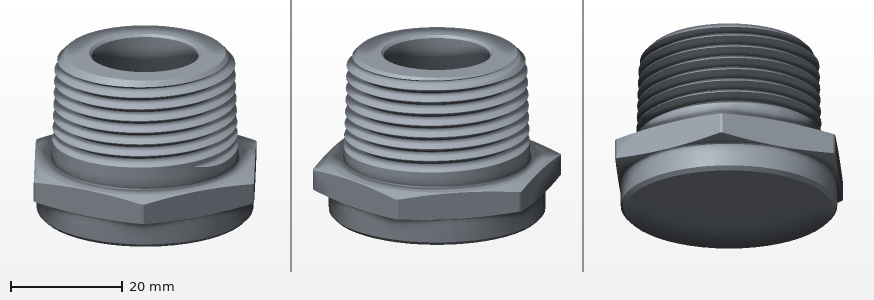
import cadquery as cq
import math

total_height = 30.23
flange_height = 5.08
hex_height = 5.08
hex_top = flange_height + hex_height
thread_start = 13.6

flange_radius = 19.49
flange_chamfer = 0.7
junction_chamfer = 0.2

across_flats = 39.62
across_corners = 45.45
hex_chamfer_angle = 12

pitch = 25.4 / 11.5
taper_slope = 1 / 32
thread_radius = 16.72
truncation = 0.038 * pitch
thread_depth = (pitch - 2 * truncation) / 2 / math.tan(math.radians(30))
root_radius = thread_radius - thread_depth
cutter_radius = thread_radius + 0.1
thread_turns = 8
nose_radius = 14.5

bore_radius = 9.6
bore_chamfer = 0.46
plug_radius = bore_radius
plug_height = flange_height
plug_chamfer = 0.6


def crest_radius(z):
    """Radius of the tapered thread blank at height z."""
    return thread_radius - taper_slope * (z - thread_start)


collar_radius = crest_radius(hex_top)


def make_flange():
    return (
        cq.Workplane("XY")
        .circle(flange_radius)
        .extrude(flange_height)
        .faces("<Z")
        .chamfer(flange_chamfer)
    )


def make_hexagon():
    """Hexagon with trimmed corners and shallow conical chamfers above and below."""
    corner_radius = across_corners / 2
    drop = (corner_radius - flange_radius) * math.tan(math.radians(hex_chamfer_angle))
    envelope = (
        cq.Workplane("XZ")
        .moveTo(0, flange_height)
        .lineTo(flange_radius, flange_height)
        .lineTo(corner_radius, flange_height + drop)
        .lineTo(corner_radius, hex_top - drop)
        .lineTo(flange_radius, hex_top)
        .lineTo(0, hex_top)
        .close()
        .revolve(360, (0, 0, 0), (0, 1, 0))
    )
    prism = (
        cq.Workplane("XY")
        .workplane(offset=flange_height)
        .polygon(6, across_flats / math.cos(math.radians(30)))
        .extrude(hex_height)
    )
    return prism.intersect(envelope)


def make_junction_ring(radius, z, direction):
    """Small triangular ring in the corner between a round part and a hexagon face."""
    inner = radius - junction_chamfer
    return (
        cq.Workplane("XZ")
        .moveTo(inner, z)
        .lineTo(radius + junction_chamfer, z)
        .lineTo(radius, z + direction * junction_chamfer)
        .lineTo(inner, z + direction * junction_chamfer)
        .close()
        .revolve(360, (0, 0, 0), (0, 1, 0))
    )


def make_spigot():
    """Plain collar, tapered thread blank and the 45 degree nose chamfer."""
    chamfer_drop = (crest_radius(total_height) - nose_radius) / (1 - taper_slope)
    chamfer_z = total_height - chamfer_drop
    return (
        cq.Workplane("XZ")
        .moveTo(0, hex_top)
        .lineTo(collar_radius, hex_top)
        .lineTo(crest_radius(chamfer_z), chamfer_z)
        .lineTo(nose_radius, total_height)
        .lineTo(0, total_height)
        .close()
        .revolve(360, (0, 0, 0), (0, 1, 0))
    )


def groove_section():
    """V section of the groove at its start, on the +X side."""
    half_mouth = (pitch - truncation) / 2
    half_root = truncation / 2
    return (
        cq.Workplane("XZ")
        .moveTo(root_radius, thread_start - half_root)
        .lineTo(thread_radius, thread_start - half_mouth)
        .lineTo(cutter_radius, thread_start - half_mouth)
        .lineTo(cutter_radius, thread_start + half_mouth)
        .lineTo(thread_radius, thread_start + half_mouth)
        .lineTo(root_radius, thread_start + half_root)
        .close()
    )


def make_thread_groove():
    """V groove swept up the taper."""
    helix = cq.Wire.makeHelix(
        pitch,
        thread_turns * pitch,
        thread_radius,
        center=cq.Vector(0, 0, thread_start),
        dir=cq.Vector(0, 0, 1),
        angle=-math.degrees(math.atan(taper_slope)),
    )
    return groove_section().sweep(cq.Workplane(obj=helix), isFrenet=True)


def make_thread_run_in():
    """Straight tangential cut that leads into the start of the groove from -Y."""
    length = math.sqrt(cutter_radius**2 - root_radius**2)
    return groove_section().extrude(length)


def make_plug():
    return (
        cq.Workplane("XY")
        .circle(plug_radius)
        .extrude(plug_height)
        .faces(">Z")
        .chamfer(plug_chamfer)
    )


def make_bore_cutter():
    """Through bore with a chamfered mouth at the top."""
    mouth = bore_radius + bore_chamfer
    return (
        cq.Workplane("XZ")
        .lineTo(bore_radius, 0)
        .lineTo(bore_radius, total_height - bore_chamfer)
        .lineTo(mouth, total_height)
        .lineTo(0, total_height)
        .close()
        .revolve(360, (0, 0, 0), (0, 1, 0))
    )


def make_housing():
    blank = make_spigot().rotate((0, 0, 0), (0, 0, 1), 180)
    threaded_spigot = blank.cut(make_thread_groove()).cut(make_thread_run_in())
    return (
        make_flange()
        .union(make_hexagon())
        .union(threaded_spigot)
        .union(make_junction_ring(flange_radius, flange_height, -1))
        .union(make_junction_ring(collar_radius, hex_top, 1))
        .cut(make_bore_cutter())
    )


housing = make_housing()
plug = make_plug()

result = cq.Compound.makeCompound([housing.val(), plug.val()])